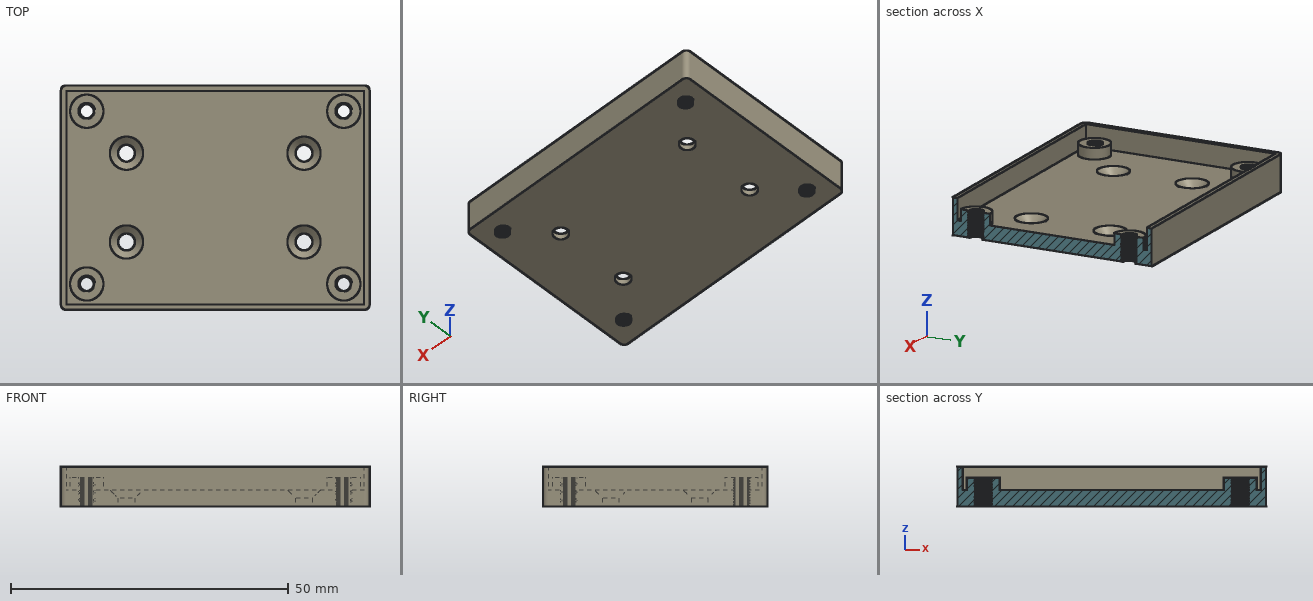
import cadquery as cq
import math

LENGTH = 55.7
WIDTH = 40.5
HEIGHT = 7.2
FLOOR = 3.0
WALL = 1.0
CORNER_RADIUS = 1.0

BOSS_INSET = 4.685
BOSS_SPACING_X = LENGTH - 2 * BOSS_INSET
BOSS_SPACING_Y = WIDTH - 2 * BOSS_INSET
BOSS_DIAMETER = 6.0
BOSS_HEIGHT = 2.2
BOSS_TOP = FLOOR + BOSS_HEIGHT

THREAD_MINOR_DIAMETER = 2.52
THREAD_MAJOR_DIAMETER = 3.0
THREAD_PITCH = 0.5
THREAD_FLANK_ANGLE = 30.0
THREAD_ROOT_WIDTH = THREAD_PITCH / 8
RIDGE_OVERLAP = 0.05

SCREW_SPACING_X = 32.0
SCREW_SPACING_Y = 16.0
SCREW_DIAMETER = 3.0
SCREW_HEAD_DIAMETER = 6.0
COUNTERSINK_ANGLE = 90.0


def make_tray():
    body = cq.Workplane("XY").box(LENGTH, WIDTH, HEIGHT, centered=(True, True, False))
    body = body.edges("|Z").fillet(CORNER_RADIUS)
    cavity = (
        cq.Workplane("XY", origin=(0, 0, FLOOR))
        .rect(LENGTH - 2 * WALL, WIDTH - 2 * WALL)
        .extrude(HEIGHT - FLOOR)
    )
    return body.cut(cavity)


def add_bosses(body):
    bosses = (
        cq.Workplane("XY")
        .rarray(BOSS_SPACING_X, BOSS_SPACING_Y, 2, 2)
        .circle(BOSS_DIAMETER / 2)
        .extrude(BOSS_TOP)
    )
    return body.union(bosses)


def make_tap():
    """Threaded cutter: a bore with a helical ridge, overrunning the hole at both ends."""
    minor_radius = THREAD_MINOR_DIAMETER / 2
    major_radius = THREAD_MAJOR_DIAMETER / 2
    inner_radius = minor_radius - RIDGE_OVERLAP
    flank_rise = (major_radius - inner_radius) * math.tan(math.radians(THREAD_FLANK_ANGLE))

    helix = cq.Wire.makeHelix(THREAD_PITCH, BOSS_TOP + 2 * THREAD_PITCH, minor_radius)
    profile = cq.Workplane("XZ").polyline(
        [
            (inner_radius, -THREAD_ROOT_WIDTH - flank_rise),
            (major_radius, -THREAD_ROOT_WIDTH),
            (major_radius, 0),
            (inner_radius, flank_rise),
        ]
    ).close()
    ridge = profile.sweep(cq.Workplane(obj=helix), isFrenet=True).translate((0, 0, -THREAD_PITCH))

    bore_overrun = 3 * THREAD_PITCH
    bore = (
        cq.Workplane("XY", origin=(0, 0, -bore_overrun))
        .circle(minor_radius)
        .extrude(BOSS_TOP + 2 * bore_overrun)
    )
    return bore.union(ridge)


def cut_threaded_holes(body):
    tap = make_tap()
    for x in (-BOSS_SPACING_X / 2, BOSS_SPACING_X / 2):
        for y in (-BOSS_SPACING_Y / 2, BOSS_SPACING_Y / 2):
            body = body.cut(tap.translate((x, y, 0)))
    return body


def drill_screw_holes(body):
    half_angle = COUNTERSINK_ANGLE / 2
    head_step = (SCREW_HEAD_DIAMETER - SCREW_DIAMETER) / 2
    countersink_depth = head_step / math.tan(math.radians(half_angle))
    shafts = (
        cq.Workplane("XY")
        .rarray(SCREW_SPACING_X, SCREW_SPACING_Y, 2, 2)
        .circle(SCREW_DIAMETER / 2)
        .extrude(FLOOR)
    )
    heads = (
        cq.Workplane("XY", origin=(0, 0, FLOOR))
        .rarray(SCREW_SPACING_X, SCREW_SPACING_Y, 2, 2)
        .circle(SCREW_HEAD_DIAMETER / 2)
        .extrude(-countersink_depth, taper=half_angle)
    )
    return body.cut(shafts).cut(heads)


tray = make_tray()
bossed_tray = add_bosses(tray)
threaded_tray = cut_threaded_holes(bossed_tray)
result = drill_screw_holes(threaded_tray)